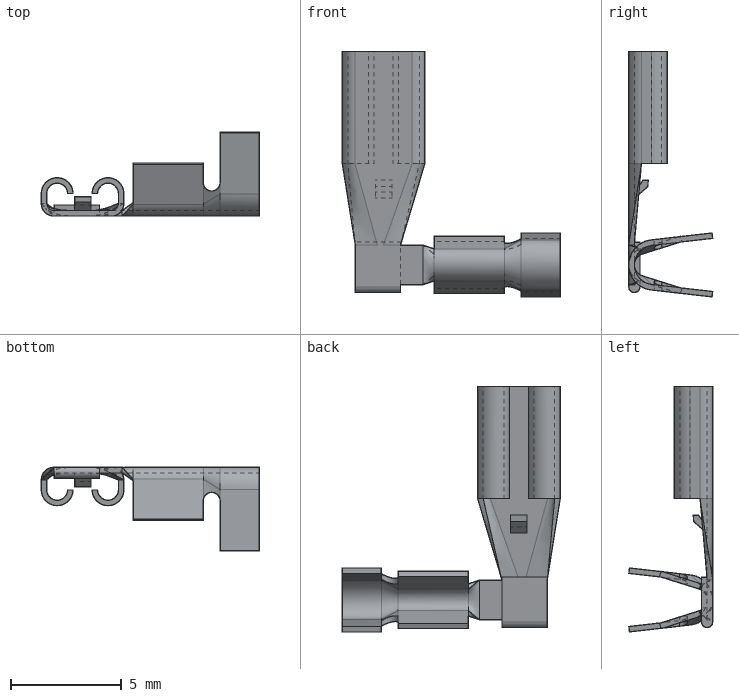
import cadquery as cq
import math

SHEET = 0.25
TOTAL_HEIGHT = 11.11
TOTAL_LENGTH = 9.87

SOCKET_WIDTH = 3.74
SOCKET_BOTTOM = 6.03
CORNER_RADIUS = 0.58
CURL_RADIUS = 0.72
CURL_CENTER_Y = 1.02

PLATE_LEFT = 0.59
PLATE_RIGHT = 3.65
PLATE_HALF_HEIGHT = 0.9
FOLD_RIGHT = 2.64
FOLD_BOTTOM = 0.2
FOLD_TOP = 2.48
TAPER_FLAT_LEFT = 1.59
TAPER_FLAT_RIGHT = 1.87

TONGUE_LEFT = 1.51
TONGUE_WIDTH = 0.74
TONGUE_PROFILE = [(0.13, 4.37), (0.87, 4.99), (0.89, 5.29), (0.64, 5.29), (0.13, 4.57)]

WIRE_START = 4.15
WIRE_END = 7.33
INSULATION_START = 8.09
WIRE_CRIMP = (0.77, 17.5, 2.41)
INSULATION_CRIMP = (1.14, 6.5, 3.8)
NOTCH_FLOOR_Y = 1.14
NOTCH_RADIUS = (INSULATION_START - WIRE_END) / 2
NOTCH_CENTER_Y = NOTCH_FLOOR_Y + NOTCH_RADIUS


def wing_tip(radius, lean, depth):
    """Outer tip of a wing as (y, distance from the crimp axis)."""
    angle = math.radians(lean)
    tip_y = depth - SHEET * math.sin(angle)
    tangent_y = radius * (1 - math.sin(angle))
    return tip_y, radius * math.cos(angle) + (tip_y - tangent_y) * math.tan(angle)


AXIS_Z = wing_tip(*INSULATION_CRIMP)[1]
PLATE_TOP = AXIS_Z + PLATE_HALF_HEIGHT


def crimp_section(x, radius, lean, depth=None):
    """U section in the YZ plane; without a depth only its curved floor."""
    angle = math.radians(lean)

    def floor_point(r, side):
        return radius - r * math.sin(angle), AXIS_Z + side * r * math.cos(angle)

    inner_radius = radius - SHEET
    section = cq.Workplane("YZ", origin=(x, 0, 0)).moveTo(*floor_point(radius, -1))
    section = section.threePointArc((0, AXIS_Z), floor_point(radius, 1))
    if depth is not None:
        tip_y, tip_z = wing_tip(radius, lean, depth)
        inner_z = tip_z - SHEET * math.cos(angle)
        section = section.lineTo(tip_y, AXIS_Z + tip_z).lineTo(depth, AXIS_Z + inner_z)
    section = section.lineTo(*floor_point(inner_radius, 1))
    section = section.threePointArc((SHEET, AXIS_Z), floor_point(inner_radius, -1))
    if depth is not None:
        section = section.lineTo(depth, AXIS_Z - inner_z).lineTo(tip_y, AXIS_Z - tip_z)
    return section.close()


def ruled_loft(first, second):
    return cq.Workplane(cq.Solid.makeLoft([first.val(), second.val()], True))


def make_socket():
    outline = cq.Workplane("XY", origin=(0, 0, SOCKET_BOTTOM)).moveTo(SOCKET_WIDTH / 2, 0)
    inner_corner = CORNER_RADIUS - SHEET
    inner_curl = CURL_RADIUS - SHEET
    half = (
        outline.lineTo(CORNER_RADIUS, 0)
        .radiusArc((0, CORNER_RADIUS), CORNER_RADIUS)
        .lineTo(0, CURL_CENTER_Y)
        .radiusArc((CURL_RADIUS, CURL_CENTER_Y + CURL_RADIUS), CURL_RADIUS)
        .radiusArc((2 * CURL_RADIUS, CURL_CENTER_Y), CURL_RADIUS)
        .lineTo(2 * CURL_RADIUS - SHEET, CURL_CENTER_Y)
        .radiusArc((CURL_RADIUS, CURL_CENTER_Y + inner_curl), -inner_curl)
        .radiusArc((SHEET, CURL_CENTER_Y), -inner_curl)
        .lineTo(SHEET, CORNER_RADIUS)
        .radiusArc((CORNER_RADIUS, SHEET), -inner_corner)
        .lineTo(SOCKET_WIDTH / 2, SHEET)
        .close()
        .extrude(TOTAL_HEIGHT - SOCKET_BOTTOM)
    )
    return half.union(half.mirror("YZ", (SOCKET_WIDTH / 2, 0, 0)))


def make_taper():
    """Sheet flattening from the socket's rounded corners down to the plate."""
    inner_corner = CORNER_RADIUS - SHEET
    right_corner = SOCKET_WIDTH - CORNER_RADIUS
    flat = (
        cq.Workplane("XY", origin=(0, 0, PLATE_TOP))
        .moveTo(PLATE_LEFT, 0)
        .lineTo(TAPER_FLAT_LEFT, 0)
        .lineTo(TAPER_FLAT_RIGHT, 0)
        .lineTo(FOLD_RIGHT, 0)
        .lineTo(FOLD_RIGHT, SHEET)
        .lineTo(TAPER_FLAT_RIGHT, SHEET)
        .lineTo(TAPER_FLAT_LEFT, SHEET)
        .lineTo(PLATE_LEFT, SHEET)
        .close()
    )
    curved = (
        cq.Workplane("XY", origin=(0, 0, SOCKET_BOTTOM))
        .moveTo(0, CORNER_RADIUS)
        .radiusArc((CORNER_RADIUS, 0), -CORNER_RADIUS)
        .lineTo(right_corner, 0)
        .radiusArc((SOCKET_WIDTH, CORNER_RADIUS), -CORNER_RADIUS)
        .lineTo(SOCKET_WIDTH - SHEET, CORNER_RADIUS)
        .radiusArc((right_corner, SHEET), inner_corner)
        .lineTo(CORNER_RADIUS, SHEET)
        .radiusArc((SHEET, CORNER_RADIUS), inner_corner)
        .close()
    )
    return ruled_loft(flat, curved)


def make_base():
    """Plate whose left part is folded back on itself around the lower edge."""
    fold_center_z = FOLD_BOTTOM + SHEET
    folded = (
        cq.Workplane("YZ", origin=(PLATE_LEFT, 0, 0))
        .moveTo(0, PLATE_TOP)
        .lineTo(0, fold_center_z)
        .threePointArc((SHEET, FOLD_BOTTOM), (2 * SHEET, fold_center_z))
        .lineTo(2 * SHEET, FOLD_TOP)
        .lineTo(SHEET, FOLD_TOP)
        .lineTo(SHEET, PLATE_TOP)
        .close()
        .extrude(FOLD_RIGHT - PLATE_LEFT)
    )
    plate = cq.Workplane("XY").box(
        PLATE_RIGHT - PLATE_LEFT, SHEET, 2 * PLATE_HALF_HEIGHT, centered=False
    )
    return folded.union(plate.translate((PLATE_LEFT, 0, AXIS_Z - PLATE_HALF_HEIGHT)))


def make_tongue():
    """Bent lance leaning inward from the taper, rooted inside the sheet."""
    plane = cq.Workplane("YZ", origin=(TONGUE_LEFT, 0, 0))
    return plane.polyline(TONGUE_PROFILE).close().extrude(TONGUE_WIDTH)


def make_neck():
    """Flat plate rolling up into the floor of the wire crimp."""
    flat = (
        cq.Workplane("YZ", origin=(PLATE_RIGHT, 0, 0))
        .moveTo(0, AXIS_Z - PLATE_HALF_HEIGHT)
        .lineTo(0, PLATE_TOP)
        .lineTo(SHEET, PLATE_TOP)
        .lineTo(SHEET, AXIS_Z - PLATE_HALF_HEIGHT)
        .close()
    )
    return ruled_loft(flat, crimp_section(WIRE_START, *WIRE_CRIMP[:2]))


def make_crimp_transition():
    """Floor widening between the crimps, with a round notch between the wings."""
    bridge = ruled_loft(
        crimp_section(WIRE_END, *WIRE_CRIMP[:2], NOTCH_CENTER_Y),
        crimp_section(INSULATION_START, *INSULATION_CRIMP[:2], NOTCH_CENTER_Y),
    )
    notch = (
        cq.Workplane("XY")
        .center((WIRE_END + INSULATION_START) / 2, NOTCH_CENTER_Y)
        .circle(NOTCH_RADIUS)
        .extrude(2 * AXIS_Z)
    )
    return bridge.cut(notch)


wire_crimp = crimp_section(WIRE_START, *WIRE_CRIMP).extrude(WIRE_END - WIRE_START)
insulation_crimp = crimp_section(INSULATION_START, *INSULATION_CRIMP).extrude(TOTAL_LENGTH - INSULATION_START)

result = make_socket()
for piece in (
    make_taper(),
    make_tongue(),
    make_base(),
    make_neck(),
    wire_crimp,
    make_crimp_transition(),
    insulation_crimp,
):
    result = result.union(piece)